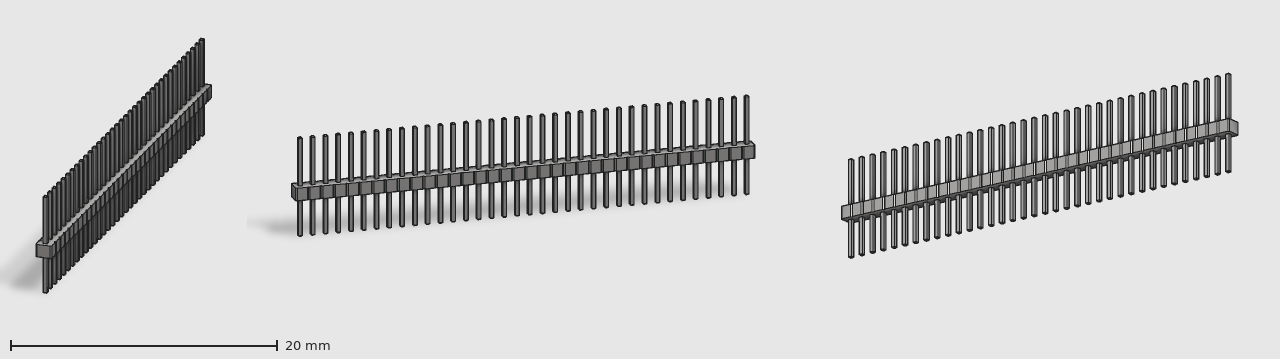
import cadquery as cq

pin_count = 36
pitch = 1.0
body_width = 1.27
body_height = 1.0
corner_cut = 0.1
pin_side = 0.3
pin_tip_chamfer = 0.08
pin_above_body = 3.8
pin_below_body = 3.0

row_length = pin_count * pitch
pin_length = pin_below_body + body_height + pin_above_body
pin_centres = [(0, (i + 0.5) * pitch - row_length / 2) for i in range(pin_count)]


def body_outline():
    """Outline of a chain of chamfered segments, notched between neighbours."""
    outer = body_width / 2
    inner = outer - corner_cut
    right_side = []
    for i in range(pin_count):
        start = i * pitch - row_length / 2
        end = start + pitch
        right_side.append((inner, start))
        right_side.append((outer, start + corner_cut))
        right_side.append((outer, end - corner_cut))
    right_side.append((inner, row_length / 2))
    left_side = [(-x, y) for x, y in reversed(right_side)]
    return right_side + left_side


def make_body():
    """Insulating strip, standing on Z = 0."""
    return cq.Workplane("XY").polyline(body_outline()).close().extrude(body_height)


def make_pins():
    """Square pins running through the strip, one per segment."""
    return (
        cq.Workplane("XY", origin=(0, 0, -pin_below_body))
        .pushPoints(pin_centres)
        .rect(pin_side, pin_side)
        .extrude(pin_length)
        .faces("<Z or >Z")
        .chamfer(pin_tip_chamfer)
    )


result = make_body().union(make_pins())